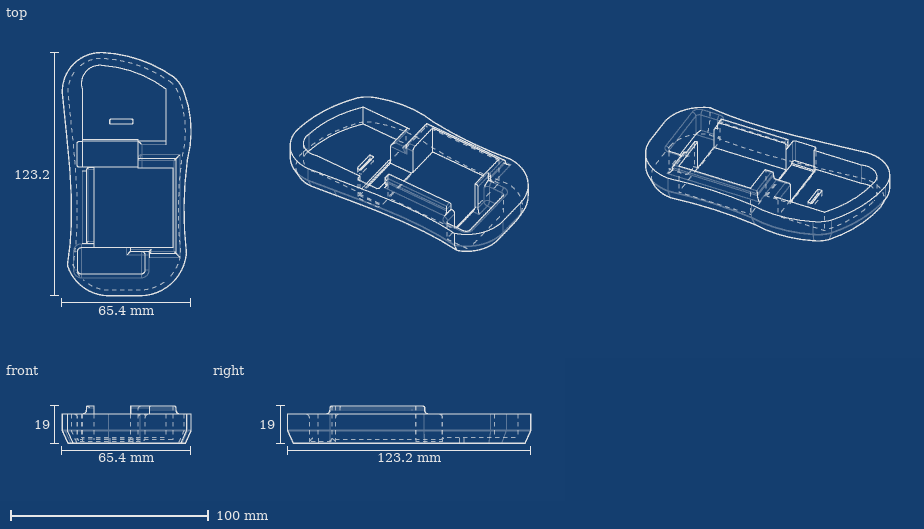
import cadquery as cq
import math

length = 123.2
body_top = 14.9
rib_top = 19.0

taper_height = 6.5
taper_inset = 3.0
waist_band = 0.5
waist_top = taper_height + waist_band / 2

edge_round = 2.0
rib_round = 1.0

upper_floor = 3.0
bay_floor = 2.0
notch_floor = 2.0
passage_floor = 1.0
cell_floor = 1.0

bay_width, bay_depth = 40.0, 40.4
bay_left, bay_back = -16.5, 3.2
bay_right = bay_left + bay_width
bay_front = bay_back - bay_depth

upper_left, upper_right = -22.4, 19.8
upper_front = 16.9
upper_shoulder = 43.1
divider_left = 5.7
passage_front = 3.6
notch_left = -25.1
notch_back = 16.5
notch_round = 1.1
step_bevel = 0.7

slot_length, slot_width = 11.6, 2.3
slot_x, slot_y = -2.7, 26.6
slot_corner = 0.4

cell_left, cell_right = -24.9, 9.4
cell_front = -50.5

left_rib = 4.0
left_rib_outer = bay_left - left_rib
left_rib_front, left_rib_back = -35.0, 3.5

right_rib, back_rib, front_rib = 1.5, 4.7, 3.0
thin_rib = 1.8
front_rib_left = 2.0
front_rib_jog = 11.5
wrap_right = bay_right + right_rib
wrap_back = bay_back + back_rib
wrap_front = bay_front - front_rib
thin_front = bay_front - thin_rib


def box(x0, x1, y0, y1, z0, z1):
    block = cq.Workplane("XY").box(x1 - x0, y1 - y0, z1 - z0, centered=False)
    return block.translate((x0, y0, z0))


def near(x0, x1, y0, y1, z0, z1, margin=0.06):
    """Select edges whose centre lies in the given range, with a small margin."""
    low = (x0 - margin, y0 - margin, z0 - margin)
    high = (x1 + margin, y1 + margin, z1 + margin)
    return cq.selectors.BoxSelector(low, high)


def outline():
    half = length / 2
    return (
        cq.Workplane("XY", origin=(0, 0, waist_top))
        .moveTo(6.8, -half)
        .lineTo(-9.1, -half)
        .threePointArc((-22.0, -57.3), (-30.1, -46.1))
        .spline([(-28.0, -16.6), (-29.7, 12.3), (-32.7, 41.3)], includeCurrent=True)
        .threePointArc((-26.7, 56.0), (-12.3, half))
        .threePointArc((6.8, 57.9), (23.9, 49.2))
        .threePointArc((27.1, 45.6), (29.2, 41.3))
        .threePointArc((32.7, 20.3), (30.8, 7.4))
        .threePointArc((29.1, -17.3), (30.3, -40.0))
        .threePointArc((23.5, -54.6), (6.8, -half))
        .close()
    )


def make_body():
    taper = math.degrees(math.atan2(taper_inset, taper_height))
    upper = outline().extrude(body_top - waist_top)
    band = outline().extrude(-waist_band, taper=taper / 2)
    base = band.faces("<Z").wires().toPending().workplane()
    lower = base.extrude(waist_top - waist_band, taper=taper, combine=False)
    return upper.union(band).union(lower)


def upper_pocket():
    return (
        cq.Workplane("XY", origin=(0, 0, upper_floor))
        .moveTo(upper_left, upper_front)
        .lineTo(upper_left, upper_shoulder)
        .threePointArc((-21.5, 50.8), (-11.7, 55.0))
        .threePointArc((5.0, 51.3), (upper_right, upper_shoulder))
        .lineTo(upper_right, upper_front)
        .close()
        .extrude(rib_top - upper_floor)
    )


def slot():
    tool = cq.Workplane("XY").rect(slot_length, slot_width).extrude(body_top)
    return tool.edges("|Z").fillet(slot_corner).translate((slot_x, slot_y, 0))


def passage():
    main = box(upper_left, divider_left, passage_front, upper_front, passage_floor, rib_top)
    notch = box(notch_left, divider_left, passage_front, notch_back, notch_floor, rib_top)
    return main.union(notch.edges("|Z and <X").fillet(notch_round))


def cell_pocket():
    tool = (
        cq.Workplane("XY", origin=(0, 0, cell_floor))
        .moveTo(cell_left, cell_front)
        .lineTo(cell_right, cell_front)
        .lineTo(cell_right, thin_front)
        .lineTo(front_rib_left, thin_front)
        .lineTo(front_rib_left, bay_front)
        .lineTo(cell_left, bay_front)
        .close()
        .extrude(rib_top - cell_floor)
    )
    corners = cq.selectors.StringSyntaxSelector("|Z and (<X or >X)")
    left_foot = near(cell_left, cell_left, cell_front, bay_front, cell_floor, cell_floor)
    right_foot = near(cell_right, cell_right, cell_front, bay_front, cell_floor, cell_floor)
    rib_foot = near(front_rib_left, cell_right, thin_front, thin_front, cell_floor, cell_floor)
    rib_end_foot = near(front_rib_left, front_rib_left, thin_front, bay_front, cell_floor, cell_floor)
    return tool.edges(corners + left_foot + right_foot + rib_foot + rib_end_foot).fillet(edge_round)


def bay():
    square = box(bay_left, bay_right, bay_front, bay_back, bay_floor, rib_top)
    mouth = box(bay_left, divider_left, bay_back, passage_front, bay_floor, rib_top)
    return square.union(mouth)


def left_rib_bar():
    bar = box(left_rib_outer, bay_left, left_rib_front, left_rib_back, bay_floor, rib_top)
    inner_edge = near(bay_left, bay_left, left_rib_front, left_rib_back, rib_top, rib_top)
    return bar.faces(">Z").edges(cq.selectors.InverseSelector(inner_edge)).fillet(rib_round)


def wrap_rib():
    rib = (
        cq.Workplane("XY", origin=(0, 0, cell_floor))
        .moveTo(divider_left, bay_back)
        .lineTo(divider_left, wrap_back)
        .lineTo(wrap_right, wrap_back)
        .lineTo(wrap_right, wrap_front)
        .lineTo(front_rib_jog, wrap_front)
        .lineTo(front_rib_jog, thin_front)
        .lineTo(front_rib_left, thin_front)
        .lineTo(front_rib_left, bay_front)
        .lineTo(bay_right, bay_front)
        .lineTo(bay_right, bay_back)
        .close()
        .extrude(rib_top - cell_floor)
    )
    divider_end = near(divider_left, divider_left, bay_back, wrap_back, rib_top, rib_top)
    rib = rib.edges(divider_end).fillet(edge_round)
    back = near(divider_left, wrap_right, wrap_back, wrap_back, rib_top, rib_top)
    right = near(wrap_right, wrap_right, wrap_front, wrap_back, rib_top, rib_top)
    front = near(front_rib_left + thin_rib, wrap_right, wrap_front, thin_front, rib_top, rib_top)
    return rib.edges(back + right + front).fillet(rib_round)


def left_rib_corner():
    """Waste outside the rounded vertical corner at the back of the left rib."""
    center_x = left_rib_outer + edge_round
    center_y = left_rib_back - edge_round
    waste = box(left_rib_outer - edge_round, center_x, center_y, passage_front, body_top, rib_top)
    keep = cq.Workplane("XY").circle(edge_round).extrude(rib_top).translate((center_x, center_y, 0))
    return waste.cut(keep)


body = make_body().cut(upper_pocket()).cut(slot()).cut(passage())
step_edge = near(upper_left, divider_left, upper_front, upper_front, upper_floor, upper_floor)
body = body.edges(step_edge).chamfer(step_bevel)

body = body.cut(cell_pocket())
cell_rim = near(cell_left, cell_right, cell_front, bay_front, body_top, body_top)
body = body.edges(cell_rim).fillet(edge_round)
divider_rim = near(divider_left, upper_right, passage_front, upper_front, body_top, body_top)
body = body.edges(divider_rim).fillet(edge_round)

body = body.union(left_rib_bar()).union(wrap_rib()).cut(bay())

left_foot = near(left_rib_outer, left_rib_outer, left_rib_front, left_rib_back, body_top, body_top)
body = body.edges(left_foot).fillet(edge_round).cut(left_rib_corner())
back_foot = near(divider_left, wrap_right, wrap_back, wrap_back, body_top, body_top)
right_foot = near(wrap_right, wrap_right, wrap_front, wrap_back, body_top, body_top)
front_foot = near(front_rib_jog, wrap_right, wrap_front, wrap_front, body_top, body_top)
body = body.edges(back_foot + right_foot + front_foot).fillet(edge_round)

result = body